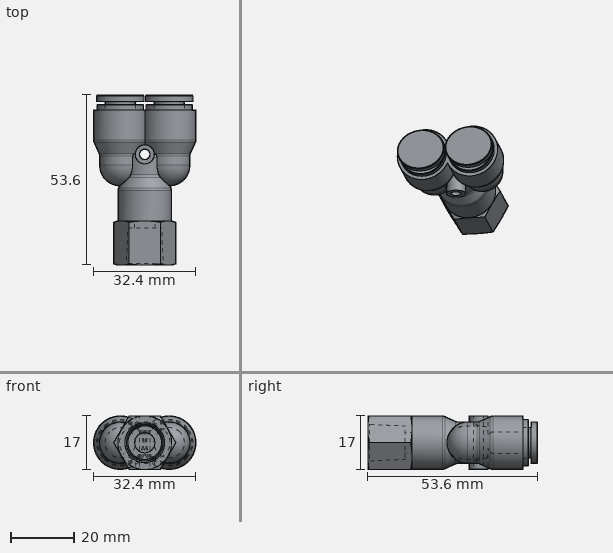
import cadquery as cq
import math

LENGTH = 53.6
BRANCH_SPACING = 15.45

WIDE_RADIUS = 16.9 / 2
NARROW_RADIUS = 6.55
SHOULDER_LENGTH = 4.15
OUTER_SHOULDER_FILLET = 2.0
STEM_WIDE_LENGTH = 10.0
STEM_NARROW_LENGTH = 5.85
STEM_INNER_FILLET = 2.4
STEM_END_ROUNDING = 1.35
BRANCH_WIDE_LENGTH = 9.9
BRANCH_NARROW_LENGTH = 3.4
BRANCH_INNER_FILLET = 2.0

LUG_DIAMETER = 6.0
LUG_HOLE_DIAMETER = 3.2
LUG_Y = 34.95

NUT_LENGTH = 13.95
NUT_ACROSS_FLATS = 17.0
NUT_CORNER_CHAMFER = 0.45
BORE_MOUTH_RADIUS = 6.25
BORE_START_RADIUS = 5.8
BORE_END_RADIUS = 5.3
BORE_CHAMFER_LENGTH = 0.5
BORE_DEPTH = 11.8
PASSAGE_RADIUS = 6.4 / 2

GUIDE_DIAMETER = 14.7
GUIDE_LENGTH = 1.75
GUIDE_CHAMFER = 0.2

NECK_DIAMETER = 9.6
HEAD_WIDTH = 15.0
HEAD_HEIGHT = 13.1
HEAD_LENGTH = 2.05
HEAD_CHAMFER = 0.2
NECK_ROOT_FILLET = 0.15
NECK_GAP = 0.85

HEAD_START = LENGTH - HEAD_LENGTH
GUIDE_END = HEAD_START - NECK_GAP
BODY_END = GUIDE_END - GUIDE_LENGTH


def cross_section(y):
    """Plane across the fitting at the given Y, facing +Y, local x along world X."""
    return cq.Workplane(cq.Plane(origin=(0, y, 0), xDir=(1, 0, 0), normal=(0, 1, 0)))


def revolved(profile):
    """Solid from a closed (radius, Y) profile turned about the Y axis."""
    return profile.revolve(360, (0, 0, 0), (0, 1, 0))


def rounded_corner(outline, x, y, radius):
    """Closed planar wire with its corner at (x, y) replaced by an arc."""
    corner = min(outline.Vertices(), key=lambda vertex: math.hypot(vertex.X - x, vertex.Y - y))
    return outline.fillet2D(radius, [corner])


def stepped_tube(wide_length, narrow_length, inner_fillet, end_rounding):
    """Tube from Y = 0 along +Y: wide part, filleted shoulder, narrow part, rounded end."""
    shoulder_end = wide_length + SHOULDER_LENGTH
    rounding_start = shoulder_end + narrow_length
    end_y = rounding_start + end_rounding
    flat_end_radius = NARROW_RADIUS - end_rounding
    diagonal = end_rounding * math.sqrt(0.5)
    profile = (
        cq.Workplane("XY")
        .lineTo(WIDE_RADIUS, 0)
        .lineTo(WIDE_RADIUS, wide_length)
        .lineTo(NARROW_RADIUS, shoulder_end)
        .lineTo(NARROW_RADIUS, rounding_start)
        .threePointArc(
            (flat_end_radius + diagonal, rounding_start + diagonal),
            (flat_end_radius, end_y),
        )
    )
    if flat_end_radius > 0:
        profile = profile.lineTo(0, end_y)
    outline = profile.close().val()
    outline = rounded_corner(outline, WIDE_RADIUS, wide_length, OUTER_SHOULDER_FILLET)
    outline = rounded_corner(outline, NARROW_RADIUS, shoulder_end, inner_fillet)
    return revolved(cq.Workplane("XY").add(outline).toPending())


def make_body():
    """Y-shaped housing: one stem, two parallel branches and a drilled lug between them."""
    stem = stepped_tube(
        STEM_WIDE_LENGTH, STEM_NARROW_LENGTH, STEM_INNER_FILLET, STEM_END_ROUNDING
    ).translate((0, NUT_LENGTH, 0))
    branch = (
        stepped_tube(BRANCH_WIDE_LENGTH, BRANCH_NARROW_LENGTH, BRANCH_INNER_FILLET, NARROW_RADIUS)
        .rotate((0, 0, 0), (0, 0, 1), 180)
        .rotate((0, 0, 0), (0, 1, 0), 90)
    )
    left_branch = branch.translate((-BRANCH_SPACING / 2, BODY_END, 0))
    right_branch = branch.translate((BRANCH_SPACING / 2, BODY_END, 0))
    body = left_branch.union(right_branch).union(stem)
    lug_plane = cq.Workplane("XY").center(0, LUG_Y)
    lug = lug_plane.circle(LUG_DIAMETER / 2).extrude(WIDE_RADIUS, both=True)
    hole = lug_plane.circle(LUG_HOLE_DIAMETER / 2).extrude(WIDE_RADIUS, both=True)
    return body.union(lug).cut(hole)


def make_nut():
    """Hexagon nut with turned corners, a tapered bore and a passage through to the body."""
    flat_radius = NUT_ACROSS_FLATS / 2
    corner_radius = NUT_ACROSS_FLATS / math.sqrt(3)
    hexagon = cross_section(0).polygon(6, 2 * corner_radius).extrude(NUT_LENGTH)
    turned_blank = revolved(
        cq.Workplane("XY")
        .lineTo(flat_radius, 0)
        .lineTo(corner_radius, NUT_CORNER_CHAMFER)
        .lineTo(corner_radius, NUT_LENGTH - NUT_CORNER_CHAMFER)
        .lineTo(flat_radius, NUT_LENGTH)
        .lineTo(0, NUT_LENGTH)
        .close()
    )
    bore = revolved(
        cq.Workplane("XY")
        .lineTo(BORE_MOUTH_RADIUS, 0)
        .lineTo(BORE_START_RADIUS, BORE_CHAMFER_LENGTH)
        .lineTo(BORE_END_RADIUS, BORE_DEPTH)
        .lineTo(PASSAGE_RADIUS, BORE_DEPTH)
        .lineTo(PASSAGE_RADIUS, NUT_LENGTH)
        .lineTo(0, NUT_LENGTH)
        .close()
    )
    return hexagon.intersect(turned_blank).cut(bore)


def make_guide_ring(x):
    """Ring seated on a branch mouth, bored for the neck of the release button."""
    ring = cross_section(BODY_END).circle(GUIDE_DIAMETER / 2).extrude(GUIDE_LENGTH)
    ring = ring.faces(">Y").chamfer(GUIDE_CHAMFER)
    bore = cross_section(BODY_END).circle(NECK_DIAMETER / 2).extrude(GUIDE_LENGTH)
    return ring.cut(bore).translate((x, 0, 0))


def make_release_button(x):
    """Button whose neck fills the guide ring and carries an oval head outside it."""
    neck = cross_section(BODY_END).circle(NECK_DIAMETER / 2).extrude(HEAD_START - BODY_END)
    head = cross_section(HEAD_START).ellipse(HEAD_WIDTH / 2, HEAD_HEIGHT / 2).extrude(HEAD_LENGTH)
    head = head.faces(">Y").chamfer(HEAD_CHAMFER)
    button = neck.union(head)
    root = button.edges("%CIRCLE").edges(">Y")
    return root.fillet(NECK_ROOT_FILLET).translate((x, 0, 0))


body = make_body()
nut = make_nut()
branch_positions = (-BRANCH_SPACING / 2, BRANCH_SPACING / 2)
guide_rings = [make_guide_ring(x).val() for x in branch_positions]
release_buttons = [make_release_button(x).val() for x in branch_positions]

result = cq.Compound.makeCompound([body.val(), nut.val(), *guide_rings, *release_buttons])